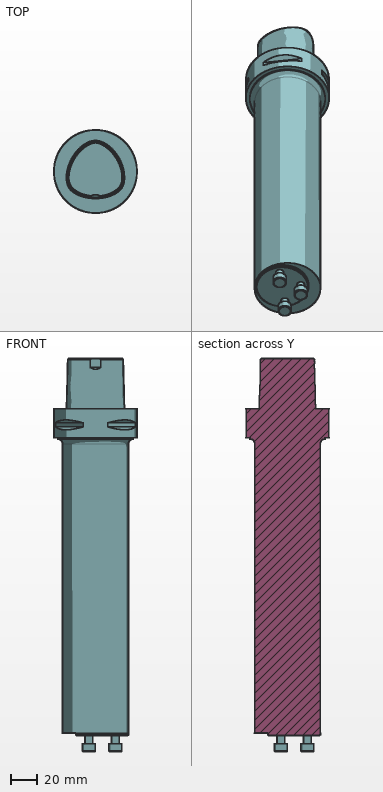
import cadquery as cq
import math

SHANK_LENGTH = 38.0
FLANGE_HEIGHT = 22.0
BODY_END_Z = -245.0
PILOT_HEIGHT = 2.0
SCREW_END_Z = -259.0

SHANK_MEAN_DIAMETER = 44.0
SHANK_ECCENTRICITY = 1.5
SHANK_TAPER = 1 / 20
SHANK_CHAMFER = 1.0
LOBE_COUNT = 3
LOBE_DIRECTION = math.pi / 2
OUTLINE_POINTS = 48

NOTCH_DIAMETER = 10.0
NOTCH_AXIS_Y = -22.4
NOTCH_DEPTH = 6.8
NOTCH_TIP_ANGLE = 118.0

FLANGE_DIAMETER = 63.0
GROOVE_CENTER_Z = -12.2
GROOVE_FLOOR_DISTANCE = 27.9
GROOVE_FLOOR_WIDTH = 3.0
GROOVE_FLANK_ANGLE = 32.0
GROOVE_ANGLES = (45, 135, 225, 315)

BODY_DIAMETER = 50.0
NECK_FILLET = 3.5
NECK_STEP = 1.0
PILOT_DIAMETER = 40.0
PILOT_CHAMFER = 0.8
PILOT_OFFSET_X = (BODY_DIAMETER - PILOT_DIAMETER) / 2

SCREW_REACH = 10.0
SCREW_CORNERS = ((-1, -1), (-1, 1), (1, 1))
SCREW_DIAMETER = 6.0
HEAD_DIAMETER = 10.0
HEAD_HEIGHT = 6.0
HEAD_CHAMFER = 0.6


def shank_section(z, mean_diameter):
    """Closed three-lobed outline at height z, with one lobe toward +Y."""
    points = []
    for i in range(OUTLINE_POINTS):
        angle = 2 * math.pi * i / OUTLINE_POINTS
        lobe_phase = LOBE_COUNT * (angle - LOBE_DIRECTION)
        support = mean_diameter / 2 + SHANK_ECCENTRICITY * math.cos(lobe_phase)
        slope = -LOBE_COUNT * SHANK_ECCENTRICITY * math.sin(lobe_phase)
        x = support * math.cos(angle) - slope * math.sin(angle)
        y = support * math.sin(angle) + slope * math.cos(angle)
        points.append(cq.Vector(x, y, z))
    return cq.Wire.assembleEdges([cq.Edge.makeSpline(points, periodic=True)])


def make_shank():
    chamfer_z = SHANK_LENGTH - SHANK_CHAMFER
    chamfer_diameter = SHANK_MEAN_DIAMETER - SHANK_TAPER * chamfer_z
    end_diameter = chamfer_diameter - 2 * SHANK_CHAMFER
    base = shank_section(0, SHANK_MEAN_DIAMETER)
    shoulder = shank_section(chamfer_z, chamfer_diameter)
    end = shank_section(SHANK_LENGTH, end_diameter)
    taper = cq.Solid.makeLoft([base, shoulder], True)
    chamfer = cq.Solid.makeLoft([shoulder, end], True)
    return cq.Workplane(taper).union(cq.Workplane(chamfer))


def make_notch():
    """Drill shape: a cylinder with a conical tip."""
    radius = NOTCH_DIAMETER / 2
    floor_z = SHANK_LENGTH - NOTCH_DEPTH
    tip_z = floor_z - radius / math.tan(math.radians(NOTCH_TIP_ANGLE / 2))
    profile = [(0, tip_z), (radius, floor_z), (radius, SHANK_LENGTH), (0, SHANK_LENGTH)]
    drill = cq.Workplane("XZ").polyline(profile).close().revolve(360, (0, 0), (0, 1))
    return drill.translate((0, NOTCH_AXIS_Y, 0))


def make_flange_and_body():
    """Revolved flange and body, joined by a short step and a concave neck fillet."""
    flange_radius = FLANGE_DIAMETER / 2
    body_radius = BODY_DIAMETER / 2
    fillet_center_r = body_radius + NECK_FILLET
    fillet_center_z = -FLANGE_HEIGHT - NECK_STEP - NECK_FILLET
    fillet_reach = NECK_FILLET * math.sqrt(0.5)
    fillet_middle = (fillet_center_r - fillet_reach, fillet_center_z + fillet_reach)
    return (
        cq.Workplane("XZ")
        .moveTo(0, 0)
        .lineTo(flange_radius, 0)
        .lineTo(flange_radius, -FLANGE_HEIGHT)
        .lineTo(fillet_center_r, -FLANGE_HEIGHT)
        .lineTo(fillet_center_r, -FLANGE_HEIGHT - NECK_STEP)
        .threePointArc(fillet_middle, (body_radius, fillet_center_z))
        .lineTo(body_radius, BODY_END_Z)
        .lineTo(0, BODY_END_Z)
        .close()
        .revolve(360, (0, 0), (0, 1))
    )


def make_gripper_groove(angle):
    """Straight trapezoidal groove across the flange rim, facing the given angle."""
    outer_distance = FLANGE_DIAMETER / 2
    floor_half = GROOVE_FLOOR_WIDTH / 2
    flank_rise = (outer_distance - GROOVE_FLOOR_DISTANCE) * math.tan(math.radians(GROOVE_FLANK_ANGLE))
    mouth_half = floor_half + flank_rise
    profile = [
        (GROOVE_FLOOR_DISTANCE, GROOVE_CENTER_Z - floor_half),
        (outer_distance, GROOVE_CENTER_Z - mouth_half),
        (outer_distance, GROOVE_CENTER_Z + mouth_half),
        (GROOVE_FLOOR_DISTANCE, GROOVE_CENTER_Z + floor_half),
    ]
    groove = cq.Workplane("XZ").polyline(profile).close().extrude(FLANGE_DIAMETER / 2, both=True)
    return groove.rotate((0, 0, 0), (0, 0, 1), angle)


def make_pilot():
    return (
        cq.Workplane("XY", origin=(PILOT_OFFSET_X, 0, BODY_END_Z))
        .circle(PILOT_DIAMETER / 2)
        .extrude(-PILOT_HEIGHT)
        .faces("<Z")
        .chamfer(PILOT_CHAMFER)
    )


def make_screw(x_side, y_side):
    """Screw hanging head down, its shaft ending at the body's lower face."""
    x = PILOT_OFFSET_X + x_side * SCREW_REACH
    y = y_side * SCREW_REACH
    base = cq.Workplane("XY", origin=(x, y, SCREW_END_Z))
    shaft = base.circle(SCREW_DIAMETER / 2).extrude(BODY_END_Z - SCREW_END_Z)
    head = base.circle(HEAD_DIAMETER / 2).extrude(HEAD_HEIGHT).faces("<Z").chamfer(HEAD_CHAMFER)
    return shaft.union(head)


result = make_flange_and_body().union(make_shank()).cut(make_notch())
for groove_angle in GROOVE_ANGLES:
    result = result.cut(make_gripper_groove(groove_angle))
result = result.union(make_pilot())
for x_side, y_side in SCREW_CORNERS:
    result = result.union(make_screw(x_side, y_side))